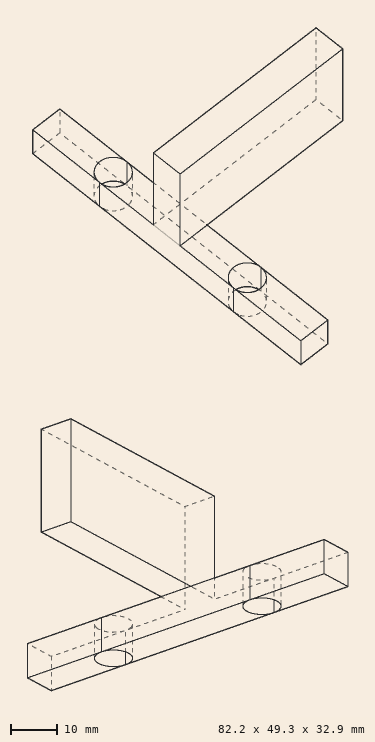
import cadquery as cq

bar_side = 8.2206

bar_length = 10 * bar_side
plate_depth = 6 * bar_side
plate_height = 3 * bar_side
plate_thickness = bar_side

hole_radius = bar_side / 2
hole_offset = bar_length / 4


def end_piece(side):
    """Bar end on the given side (-1 or +1), hollowed by half of a hole."""
    hole_x = side * hole_offset
    tip_x = side * bar_length / 2
    return (
        cq.Workplane("XY")
        .moveTo(hole_x, 0)
        .lineTo(tip_x, 0)
        .lineTo(tip_x, bar_side)
        .lineTo(hole_x, bar_side)
        .threePointArc((hole_x + side * hole_radius, bar_side / 2), (hole_x, 0))
        .close()
        .extrude(bar_side)
    )


def plate_holder():
    """Middle of the bar between the holes, with the upright plate on top; their joint line is kept."""
    middle = (
        cq.Workplane("XY")
        .moveTo(-hole_offset, 0)
        .lineTo(hole_offset, 0)
        .threePointArc((hole_offset - hole_radius, bar_side / 2), (hole_offset, bar_side))
        .lineTo(-hole_offset, bar_side)
        .threePointArc((hole_radius - hole_offset, bar_side / 2), (-hole_offset, 0))
        .close()
        .extrude(bar_side)
    )
    plate = (
        cq.Workplane("XY")
        .box(plate_thickness, plate_depth, plate_height, centered=(True, False, False))
        .translate((0, 0, bar_side))
    )
    return middle.union(plate, clean=False)


holder = plate_holder()
ends = [end_piece(side) for side in (-1, 1)]

result = cq.Compound.makeCompound([holder.val(), *[end.val() for end in ends]])